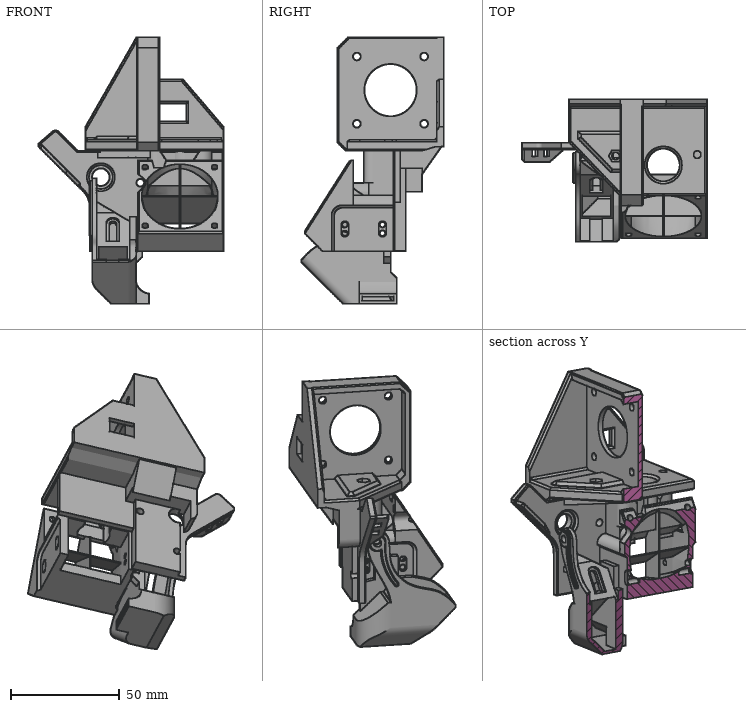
import cadquery as cq
import math


right_x = 85.3
rear_y = 65.8
top_z = 123.0
hotend_x = 65.2
hotend_y = 35.4
screw_d = 3.5
small_chamfer = 1.0
edge_chamfer = 0.6

motor_left_x = 45.2
motor_right_x = 55.9
motor_web = 2.5
motor_front_y = 16.7
motor_corner = 5.0
motor_foot_corner = 3.8
rim_top = 3.2
rim_front = 2.7
rim_inner_corner = 2.7
wall = 3.2
motor_hole_d = 24.0
motor_axis_y = 41.2
motor_axis_z = 98.5
motor_bolt_pitch = 31.0
base_left_x = 21.6
base_bottom_z = 70.6
base_top_z = 75.6
base_front_y = 21.3
base_side_front_y = 46.0
wall_foot_z = 81.5
right_wall_z = 103.5
right_wall_flat_x = 66.5
window_right_x = 68.1
window_bottom_z = 84.2
window_top_z = 92.3
pad_height = 1.7
pad_chamfer = 1.5
nut_x = 43.2
nut_y = 39.6
nut_corners = 6.3
nut_floor_z = 74.4
relief_top_z = 72.4
relief_flat_y = 61.8
bore_d = 15.0
bore_chamfer = 1.1
side_hole_x = 80.8
side_hole_y = 40.2
side_hole_depth = 3.7

plate_front_y = 42.5
plate_rear_y = plate_front_y + wall
plate_left_x = 23.6
plate_bottom_z = 24.3
backing_rear_y = 48.3
backing_left_x = 27.4
plate_inner_x = 49.2
plate_right_bottom_z = 46.8
boss_rear_y = 55.7
boss_bottom_z = 51.3
boss_round = 4.9
boss_leg_x = 24.7
boss_step_z = 62.5
gusset_left_x = 35.0
gusset_rear_y = 64.7
gusset_bottom_z = 59.6
big_screw_x = 28.8
big_screw_z = 58.4
big_screw_d = 8.0
big_screw_head_d = 11.0
big_screw_head_depth = 1.8
lower_screw_z = 36.6
shroud_screw_x = 47.0
shroud_screw_z = 55.8
arm_corner_z = 72.5
arm_end_length = 1.2
flange_thickness = 1.6
flange_front_y = 36.8
flange_end_x = 19.3
tie_slot_length = 3.5
tie_slot_bottom_y = 39.3
tie_slot_x = (4.9, 10.3)
holder_half_width = 14.8
holder_front_y = 28.8
holder_round = 4.3
holder_bottom_z = 55.8
slot_half_width = 6.4
slot_top_half_width = 9.2
slot_flare_z = 66.4
ledge_bottom_z = 67.4
ledge_front_y = 29.4
ledge_right_x = 53.1

fan_tilt = 32.5
fan_size = 39.6
fan_y = 11.9
fan_z = 49.5
fan_opening_d = 35.2
fan_screw_pitch = 32.0
fan_screw_d = 2.7
fan_screw_depth = 6.1
screw_notch_d = 4.9
vane = 0.6
shroud_left_x = right_x - fan_size
shroud_bottom_z = 24.2
shroud_rear_y = plate_front_y
arm_top_z = 50.2
arm_round = 4.3
shroud_step_y = 24.1
duct_end_y = 31.1
roof_thickness = 1.5
passage_half_width = 14.8
passage_side_left_x = hotend_x - passage_half_width
passage_side_right_x = hotend_x + passage_half_width
passage_bottom_z = 29.5
passage_top_z = 48.5
side_pocket_depth = 1.5
side_pocket_bevel = 1.2
side_pocket_front_y = 14.0
side_pocket_top_z = 45.5
side_pocket_round = 4.9
vent_slot_length = 7.1
vent_slot_z = 34.5
vent_slot_depth = 1.2
vent_hole_d = 2.5
vent_hole_reach = 3.7
vent_hole_pitch = 3.9
vent_y = (20.2, 37.5)

duct_left_x = 24.7
duct_right_x = 45.0
cheek_inner_x = 26.8
right_wall_x = 42.2
pivot_y = 36.5
pivot_z = 52.9
pivot_r = 5.0
pivot_hole_y = 37.1
pivot_ring_d = 8.0
pivot_rib_height = 1.2
pivot_rib_bevel = 0.5
duct_front_z = 19.3
lip_height = 0.9
duct_foot_y = 19.4
channel_rear_y = 30.4
nozzle_rear_y = 44.1
nozzle_rear_z = 11.9
nozzle_top_z = 23.4
nozzle_front_y = 2 * hotend_y - nozzle_rear_y
nozzle_round = 13.5
nozzle_end_x = 51.0
nozzle_end_z = 4.8
duct_wall = 1.5
passage_left_x = 27.8
passage_right_x = 41.0
inlet_top_z = 26.3
right_rim_z = 29.5
guide_front_y = 23.6
guide_rear_y = 34.4
guide_top_z = 40.1
duct_corner = 3.7
floor_front_y = -1.2
floor_front_z = 22.4
floor_rear_y = 10.8
floor_rear_z = 10.3
floor_groove_x = (31.3, 37.0)
floor_groove_depth = 0.5
right_wall_rear_y = 41.3
lug_bottom_z = 18.8
lug_right_x = 48.0
lug_front_y = 38.1
mount_face_y = 22.6
mount_face_z = 28.9
bend_y = 31.0
bend_z = 42.0
wall_end_y = 37.4
wall_end_z = 47.1
wall_low_z = 38.0
mount_face_thickness = 2.2
blower_wall_back = [
    (mount_face_y + 1.5 * mount_face_thickness, mount_face_z),
    (bend_y + mount_face_thickness, bend_z - mount_face_thickness / 2),
    (wall_end_y, wall_end_z - mount_face_thickness),
]
key_slot_x = 34.3
key_slot_rim_d = 6.0
key_slot_top = 9.8
key_rim_depth = 1.0
key_slot_depth = 4.9

sin_tilt = math.sin(math.radians(fan_tilt))
cos_tilt = math.cos(math.radians(fan_tilt))


def box(x0, x1, y0, y1, z0, z1):
    """Box between two corners."""
    return cq.Workplane("XY").box(x1 - x0, y1 - y0, z1 - z0, centered=False).translate((x0, y0, z0))


def prism_x(points, x0, x1):
    """Outline of (y, z) points extruded from x0 to x1."""
    return cq.Workplane("YZ", origin=(x0, 0, 0)).polyline(points).close().extrude(x1 - x0)


def prism_y(points, y0, y1):
    """Outline of (x, z) points extruded from y0 to y1."""
    return cq.Workplane("XZ", origin=(0, y0, 0)).polyline(points).close().extrude(y0 - y1)


def prism_z(points, z0, z1):
    """Outline of (x, y) points extruded from z0 to z1."""
    return cq.Workplane("XY", origin=(0, 0, z0)).polyline(points).close().extrude(z1 - z0)


def rod_x(d, y, z, x0, x1):
    return cq.Workplane("YZ", origin=(x0, y, z)).circle(d / 2).extrude(x1 - x0)


def rod_y(d, x, z, y0, y1):
    return cq.Workplane("XZ", origin=(x, y0, z)).circle(d / 2).extrude(y0 - y1)


def rod_z(d, x, y, z0, z1):
    return cq.Workplane("XY", origin=(x, y, z0)).circle(d / 2).extrude(z1 - z0)


def tilted_plane(x, y, z):
    """Plane facing forward and up, parallel to the fan face; its local y runs up the slope."""
    return cq.Plane(origin=(x, y, z), xDir=(1, 0, 0), normal=(0, -cos_tilt, sin_tilt))


def motor_plate():
    outline = [
        (rear_y, base_bottom_z),
        (rear_y, top_z),
        (motor_front_y + motor_corner, top_z),
        (motor_front_y, top_z - motor_corner),
        (motor_front_y, base_bottom_z + motor_foot_corner),
        (motor_front_y + motor_foot_corner, base_bottom_z),
    ]
    plate = prism_x(outline, motor_left_x, motor_right_x)
    plate = plate.faces("<X or >X").edges("not (>Y or <Z)").chamfer(edge_chamfer)
    y0 = motor_front_y + rim_front
    y1 = rear_y - wall
    z1 = top_z - rim_top
    recess = [
        (y1, base_top_z),
        (y1, z1),
        (y0 + rim_inner_corner, z1),
        (y0, z1 - rim_inner_corner),
        (y0, base_top_z + rim_inner_corner),
        (y0 + rim_inner_corner, base_top_z),
    ]
    return plate.cut(prism_x(recess, motor_left_x, motor_right_x - motor_web))


def motor_holes():
    half = motor_bolt_pitch / 2
    holes = rod_x(motor_hole_d, motor_axis_y, motor_axis_z, motor_left_x, motor_right_x)
    for dy in (-half, half):
        for dz in (-half, half):
            bolt = rod_x(screw_d, motor_axis_y + dy, motor_axis_z + dz, motor_left_x, motor_right_x)
            holes = holes.union(bolt)
    return holes


def rear_wall():
    left = [
        (base_left_x, base_bottom_z),
        (base_left_x, wall_foot_z),
        (motor_left_x, top_z),
        (motor_right_x, top_z),
        (motor_right_x, base_bottom_z),
    ]
    right = [
        (motor_right_x, base_bottom_z),
        (motor_right_x, right_wall_z),
        (right_wall_flat_x, right_wall_z),
        (right_x, wall_foot_z),
        (right_x, base_bottom_z),
    ]
    front = rear_y - wall
    walls = prism_y(left, front, rear_y).union(prism_y(right, front, rear_y))
    front_edges = cq.selectors.BoxSelector(
        (base_left_x - 1.2, front - 0.1, wall_foot_z - 9.8), (right_x + 1.2, front + 0.1, top_z - 0.1))
    walls = walls.edges(front_edges).edges("not |Z").chamfer(small_chamfer)
    window = box(motor_right_x, window_right_x, front, rear_y, window_bottom_z, window_top_z)
    return walls.cut(window).faces("<Y").edges(
        cq.selectors.BoxSelector(
            (motor_right_x + 0.1, front - 0.1, window_bottom_z - 0.1),
            (window_right_x + 0.1, front + 0.1, window_top_z + 0.1),
        )
    ).chamfer(small_chamfer)


def base():
    outline = [
        (base_left_x, rear_y),
        (right_x, rear_y),
        (right_x, base_front_y),
        (motor_left_x, base_front_y),
        (base_left_x, base_side_front_y),
    ]
    plate = prism_z(outline, base_bottom_z, base_top_z)
    plate = plate.faces(">Z").edges("not >Y").chamfer(small_chamfer)
    plate = plate.faces("<Z").edges("not (>Y or <X)").chamfer(edge_chamfer)
    pad_outline = [
        (25.8, 51.0),
        (motor_right_x, 51.0),
        (motor_right_x, 32.0),
        (41.1, 32.0),
        (25.8, 47.6),
    ]
    pad = prism_z(pad_outline, base_top_z, base_top_z + pad_height)
    pad = pad.faces(">Z").edges("not >X").chamfer(pad_chamfer)
    return plate.union(pad)


def base_underside_relief():
    """Raised underside along the rear, sloping down to the boss."""
    return prism_x(
        [(rear_y, base_bottom_z), (rear_y, relief_top_z), (relief_flat_y, relief_top_z),
         (boss_rear_y, base_bottom_z)],
        base_left_x,
        right_x,
    )


def wall_foot():
    """Small bevel where the base meets the rear wall."""
    front = rear_y - wall
    return prism_x(
        [(front, base_top_z), (front - small_chamfer, base_top_z), (front, base_top_z + small_chamfer)],
        base_left_x + small_chamfer,
        right_x - small_chamfer,
    )


def base_holes():
    top = base_top_z + pad_height
    nut = cq.Workplane("XY", origin=(nut_x, nut_y, nut_floor_z)).polygon(6, nut_corners)
    nut = nut.extrude(top - nut_floor_z)
    screw = rod_z(screw_d, nut_x, nut_y, ledge_bottom_z, top)
    bore = rod_z(bore_d, hotend_x, hotend_y, plate_right_bottom_z, base_top_z)
    mouth = bore.faces(">Z").workplane().circle(bore_d / 2 + bore_chamfer).extrude(
        -bore_chamfer, combine=False, taper=45)
    side = rod_z(screw_d, side_hole_x, side_hole_y, base_top_z - side_hole_depth, base_top_z)
    return nut.union(screw).union(bore).union(mouth).union(side)


def carriage_plate():
    """Plate with the slanted cable arm, its backing and the round-cornered boss and gusset behind it."""
    plate = (
        cq.Workplane("XZ", origin=(0, plate_front_y, 0))
        .moveTo(plate_left_x, plate_bottom_z)
        .lineTo(plate_left_x, 44.3)
        .threePointArc((23.0, 48.1), (20.9, 51.6))
        .lineTo(0, arm_corner_z)
        .lineTo(0, arm_corner_z + arm_end_length)
        .lineTo(6.4, 79.3)
        .threePointArc((7.9, 79.9), (9.3, 79.3))
        .lineTo(18.1, base_bottom_z)
        .lineTo(right_x, base_bottom_z)
        .lineTo(right_x, plate_right_bottom_z)
        .lineTo(plate_inner_x, plate_right_bottom_z)
        .lineTo(plate_inner_x, plate_bottom_z)
        .close()
        .extrude(-wall)
    )
    plate = plate.faces("<Y").edges().chamfer(edge_chamfer)
    backing = box(backing_left_x, plate_inner_x, plate_rear_y, backing_rear_y, plate_bottom_z, base_bottom_z)
    boss = box(base_left_x, ledge_right_x, plate_rear_y, boss_rear_y, boss_bottom_z, base_bottom_z)
    boss = boss.edges("|Y and <Z").fillet(boss_round)
    boss = boss.cut(box(boss_leg_x, ledge_right_x, plate_rear_y, boss_rear_y, boss_bottom_z, boss_step_z))
    gusset_outline = [
        (gusset_rear_y, relief_top_z),
        (boss_rear_y, gusset_bottom_z),
        (boss_rear_y, base_bottom_z),
        (relief_flat_y, relief_top_z),
    ]
    gusset = prism_x(gusset_outline, gusset_left_x, ledge_right_x)
    return plate.union(backing).union(boss).union(gusset)


def arm_flange():
    """Flange along the arm's lower edge, with two slots for cable ties."""
    step = flange_thickness * math.sqrt(2)
    strip = prism_y(
        [
            (0, arm_corner_z),
            (step / 2, arm_corner_z + step / 2),
            (flange_end_x + step / 2, arm_corner_z - flange_end_x + step / 2),
            (flange_end_x, arm_corner_z - flange_end_x),
        ],
        flange_front_y,
        plate_front_y,
    )
    plan = [
        (0, plate_front_y),
        (0, flange_front_y + 1.2),
        (1.2, flange_front_y),
        (12.8, flange_front_y),
        (flange_end_x, plate_front_y),
    ]
    strip = strip.intersect(prism_z(plan, 0, top_z))
    for x in tie_slot_x:
        slot = cq.Workplane("XY").box(tie_slot_length, plate_front_y - tie_slot_bottom_y, 4 * flange_thickness)
        slot = slot.rotate((0, 0, 0), (0, 1, 0), 45)
        slot = slot.translate((x, (plate_front_y + tie_slot_bottom_y) / 2, arm_corner_z - x))
        strip = strip.cut(slot)
    return strip


def carriage_holes():
    head_y = plate_front_y + big_screw_head_depth
    holes = rod_y(big_screw_d, big_screw_x, big_screw_z, plate_front_y, boss_rear_y)
    holes = holes.union(rod_y(big_screw_head_d, big_screw_x, big_screw_z, plate_front_y, head_y))
    flare = cq.Workplane("XZ", origin=(big_screw_x, plate_front_y, big_screw_z))
    flare = flare.circle(big_screw_head_d / 2 + small_chamfer).extrude(-small_chamfer, taper=45)
    holes = holes.union(flare)
    holes = holes.union(rod_y(screw_d, big_screw_x, lower_screw_z, plate_front_y, backing_rear_y))
    return holes.union(rod_y(screw_d, shroud_screw_x, shroud_screw_z, plate_front_y, boss_rear_y))


def hotend_holder():
    x0 = hotend_x - holder_half_width
    x1 = hotend_x + holder_half_width
    block = box(x0, x1, holder_front_y, plate_front_y, holder_bottom_z, base_bottom_z)
    block = block.edges("|Z and <Y").fillet(holder_round)
    legs = box(x0, x1, duct_end_y, plate_front_y, plate_right_bottom_z, holder_bottom_z)
    block = block.union(legs)
    mouth = prism_y(
        [
            (hotend_x - slot_half_width, plate_right_bottom_z),
            (hotend_x - slot_half_width, slot_flare_z),
            (hotend_x - slot_top_half_width, base_bottom_z),
            (hotend_x + slot_top_half_width, base_bottom_z),
            (hotend_x + slot_half_width, slot_flare_z),
            (hotend_x + slot_half_width, plate_right_bottom_z),
        ],
        holder_front_y,
        plate_front_y,
    )
    ledge = prism_z(
        [(backing_left_x, plate_front_y), (ledge_right_x, ledge_front_y), (ledge_right_x, plate_front_y)],
        ledge_bottom_z,
        base_bottom_z,
    )
    return block.cut(mouth).union(ledge)


def make_mount():
    body = motor_plate().union(rear_wall()).union(base()).union(wall_foot())
    body = body.cut(base_underside_relief())
    body = body.union(carriage_plate()).union(arm_flange()).union(hotend_holder())
    return body.cut(motor_holes()).cut(base_holes()).cut(carriage_holes())


def shroud_shell():
    half = fan_size / 2
    top_y = fan_y + half * sin_tilt
    frame_top_z = fan_z + half * cos_tilt
    front_y = fan_y - half * sin_tilt
    front_z = fan_z - half * cos_tilt
    outline = [
        (top_y, frame_top_z),
        (front_y, front_z),
        (front_y + front_z - shroud_bottom_z, shroud_bottom_z),
        (shroud_rear_y, shroud_bottom_z),
        (shroud_rear_y, holder_bottom_z),
        (shroud_step_y, holder_bottom_z),
        (shroud_step_y, frame_top_z),
    ]
    shell = prism_x(outline, shroud_left_x, right_x)
    fan_face = cq.selectors.ParallelDirSelector(cq.Vector(0, -cos_tilt, sin_tilt))
    shell = shell.faces(fan_face).edges().chamfer(edge_chamfer)
    for x0, x1 in ((shroud_left_x, passage_side_left_x), (passage_side_right_x, right_x)):
        shell = shell.cut(box(x0, x1, shroud_step_y, shroud_rear_y, arm_top_z, holder_bottom_z))
    for x, z in ((shroud_left_x, arm_top_z), (right_x, arm_top_z),
                 (passage_side_left_x, holder_bottom_z), (passage_side_right_x, holder_bottom_z)):
        edge = cq.selectors.BoxSelector(
            (x - 0.1, shroud_step_y, z - 0.1), (x + 0.1, shroud_rear_y, z + 0.1))
        shell = shell.edges(edge).edges("|Y").fillet(arm_round)
    return shell


def air_passage():
    """Passage from the round fan opening to the rectangular rear opening."""
    fan_face = tilted_plane(hotend_x, fan_y, fan_z)
    inlet = cq.Workplane(fan_face).circle(fan_opening_d / 2).wires().val()
    height = passage_top_z - passage_bottom_z
    outlet_plane = cq.Plane(
        origin=(hotend_x, duct_end_y, (passage_top_z + passage_bottom_z) / 2),
        xDir=(1, 0, 0),
        normal=(0, -1, 0),
    )
    outlet = cq.Workplane(outlet_plane).rect(2 * passage_half_width, height).wires().val()
    passage = cq.Workplane(cq.Solid.makeLoft([inlet, outlet]))
    roof_z = holder_bottom_z - roof_thickness
    return passage.cut(box(0, right_x, shroud_step_y - roof_thickness, rear_y, roof_z, top_z))


def fan_vanes(passage):
    """Crossed vanes that follow the fan axis through the whole passage."""
    depth = 2 * fan_size
    fan_face = tilted_plane(hotend_x, fan_y, fan_z)
    across = cq.Workplane(fan_face).rect(fan_size, vane).extrude(-depth)
    upright = cq.Workplane(fan_face).rect(vane, depth).extrude(-depth)
    return across.union(upright).intersect(passage)


def fan_screw_holes():
    fan_face = tilted_plane(hotend_x, fan_y, fan_z)
    return (
        cq.Workplane(fan_face)
        .rect(fan_screw_pitch, fan_screw_pitch, forConstruction=True)
        .vertices()
        .circle(fan_screw_d / 2)
        .extrude(-fan_screw_depth)
    )


def side_pocket(x0, x1, floor):
    """Shallow pocket with a bevelled border in a side face; open at the bottom and rear."""
    pocket = box(x0, x1, side_pocket_front_y, shroud_rear_y, shroud_bottom_z, side_pocket_top_z)
    pocket = pocket.edges("|X and >Z and <Y").fillet(side_pocket_round)
    return pocket.faces(floor).edges("not (<Z or >Y)").chamfer(side_pocket_bevel)


def vent_slots(x0, x1):
    slots = cq.Workplane("YZ", origin=(x0, 0, vent_slot_z)).pushPoints([(y, 0) for y in vent_y])
    return slots.slot2D(vent_slot_length, screw_d, 90).extrude(x1 - x0)


def make_shroud():
    passage = air_passage()
    body = shroud_shell().cut(passage)
    x0 = passage_side_left_x
    x1 = passage_side_right_x
    body = body.cut(box(x0, x1, duct_end_y, shroud_rear_y, shroud_bottom_z, holder_bottom_z))
    body = body.union(fan_vanes(passage))
    body = body.cut(fan_screw_holes())
    left_floor = shroud_left_x + side_pocket_depth
    right_floor = right_x - side_pocket_depth
    body = body.cut(side_pocket(shroud_left_x, left_floor, ">X"))
    body = body.cut(side_pocket(right_floor, right_x, "<X"))
    body = body.cut(vent_slots(left_floor, left_floor + vent_slot_depth))
    body = body.cut(vent_slots(right_floor - vent_slot_depth, right_floor))
    for y in vent_y:
        for dz in (-vent_hole_pitch / 2, vent_hole_pitch / 2):
            z = vent_slot_z + dz
            body = body.cut(rod_x(vent_hole_d, y, z, shroud_left_x, x0 + vent_hole_reach))
            body = body.cut(rod_x(vent_hole_d, y, z, x1 - vent_hole_reach, right_x))
    return body.cut(screw_notches())


def screw_notches():
    """Round notch with a flared mouth that clears the mounting screw, and the notch beside the frame's ear."""
    notch = rod_y(screw_notch_d, shroud_screw_x, shroud_screw_z, 0, shroud_step_y)
    ear_mouth = [(shroud_left_x, 60.0), (48.5, 57.7), (48.5, 54.0), (shroud_left_x, 51.1)]
    notch = notch.union(prism_y(ear_mouth, 0, shroud_step_y))
    ear_notch = [(52.1, 67.0), (53.2, 62.8), (57.8, 62.8), (59.0, 67.0)]
    return notch.union(prism_y(ear_notch, 0, shroud_step_y))


def cheek_profile():
    """Side outline of the duct with the pivot arm, as (y, z)."""
    return (
        cq.Workplane("YZ", origin=(duct_left_x, 0, 0))
        .moveTo(duct_foot_y, 0)
        .lineTo(0, duct_front_z)
        .lineTo(0, duct_front_z + lip_height)
        .spline([(3.5, 23.7), (7.9, 26.9), (14.4, 28.9), (22.0, 31.7), (28.4, 38.1), (31.0, 45.9)],
                includeCurrent=True)
        .lineTo(pivot_y - pivot_r, pivot_z)
        .threePointArc((pivot_y, pivot_z + pivot_r), (pivot_y + pivot_r, pivot_z))
        .spline([(40.0, 44.6), (33.6, 32.3), (channel_rear_y, 20.9)], includeCurrent=True)
        .lineTo(channel_rear_y, 0)
        .close()
    )


def duct_envelope():
    """Front outline of the duct: straight shaft, chamfered elbow and nozzle tip."""
    return (
        cq.Workplane("XZ")
        .moveTo(33.6, 0)
        .lineTo(nozzle_end_x, 0)
        .lineTo(nozzle_end_x, nozzle_end_z)
        .threePointArc((47.0, 6.6), (duct_right_x, 10.2))
        .lineTo(duct_right_x, top_z)
        .lineTo(duct_left_x, top_z)
        .lineTo(duct_left_x, 11.3)
        .threePointArc((25.3, 8.7), (26.9, 6.6))
        .close()
        .extrude(-rear_y)
    )


def duct_outside():
    width = duct_right_x - duct_left_x
    shaft = cheek_profile().extrude(width)
    corner = cq.selectors.BoxSelector((duct_right_x - 0.1, 0.1, 0.1),
                                      (duct_right_x + 0.1, duct_foot_y - 0.1, duct_front_z - 0.1))
    shaft = shaft.edges(corner).fillet(duct_corner)
    shaft = shaft.cut(box(cheek_inner_x, duct_right_x, 0, rear_y, right_rim_z, top_z))
    guide = box(right_wall_x, duct_right_x, guide_front_y, guide_rear_y, nozzle_top_z, guide_top_z)
    shaft = shaft.union(guide)
    elbow = prism_x(
        [(channel_rear_y, 0), (nozzle_rear_y, 0), (nozzle_rear_y, nozzle_rear_z),
         (32.0, nozzle_top_z), (channel_rear_y, nozzle_top_z)],
        duct_left_x,
        duct_right_x,
    )
    elbow = elbow.edges("|Z and >Y and <X").fillet(nozzle_round)
    tip = box(duct_right_x, nozzle_end_x, nozzle_front_y, nozzle_rear_y, 0, nozzle_rear_z)
    tail = prism_x(
        [(channel_rear_y, 0), (right_wall_rear_y, nozzle_rear_z), (right_wall_rear_y, 25.8),
         (38.7, 28.6), (32.6, 29.8), (channel_rear_y, nozzle_top_z)],
        right_wall_x,
        duct_right_x,
    )
    return shaft.union(elbow).union(tip).union(tail).intersect(duct_envelope())


def blower_space():
    """Open space in front of the sloped blower face, between the side walls."""
    floor_front = (floor_front_y, floor_front_z)
    floor_rear = (floor_rear_y, floor_rear_z)
    space = prism_x(
        [floor_front, floor_rear, (mount_face_y, mount_face_z), (bend_y, bend_z), (floor_front_y, bend_z)],
        cheek_inner_x,
        right_wall_x,
    )
    d = floor_groove_depth
    groove = prism_x(
        [floor_front, floor_rear, (floor_rear_y - d, floor_rear_z - d), (floor_front_y - d, floor_front_z - d)],
        *floor_groove_x,
    )
    return space.union(groove)


def blower_back_space():
    """Open space behind the sloped blower wall."""
    open_end = [
        (rear_y, wall_end_z - mount_face_thickness),
        (rear_y, mount_face_z),
        (channel_rear_y, nozzle_top_z),
    ]
    return prism_x(
        blower_wall_back + open_end,
        cheek_inner_x,
        right_wall_x,
    )


def blower_wall():
    """Sloped wall with the diagonal upper edge, from the left cheek to the right wall."""
    front = [(mount_face_y, mount_face_z), (bend_y, bend_z), (wall_end_y, wall_end_z)]
    slab = prism_x(
        front + blower_wall_back[::-1],
        cheek_inner_x,
        right_wall_x,
    )
    upper_edge = [(cheek_inner_x, mount_face_z), (cheek_inner_x, wall_end_z),
                  (right_wall_x, wall_low_z), (right_wall_x, mount_face_z)]
    return slab.intersect(prism_y(upper_edge, 0, rear_y))


def pivot_rib():
    """Raised ring around the pivot with a curved tail along the arm."""
    x0 = duct_left_x - pivot_rib_height
    ring = rod_x(pivot_ring_d, pivot_hole_y, pivot_z, x0, duct_left_x)
    tail = (
        cq.Workplane("YZ", origin=(x0, 0, 0))
        .moveTo(35.7, 49.8)
        .spline([(34.9, 43.9), (32.3, 36.9), (29.1, 32.1)], includeCurrent=True)
        .threePointArc((27.7, 31.3), (27.3, 33.0))
        .spline([(30.4, 37.7), (32.6, 43.9), (33.2, 52.2)], includeCurrent=True)
        .close()
        .extrude(pivot_rib_height)
    )
    return ring.union(tail).faces("<X").edges().chamfer(pivot_rib_bevel)


def key_slot():
    face = tilted_plane(key_slot_x, mount_face_y, mount_face_z)
    above = cq.Workplane(face).workplane(offset=key_rim_depth)
    length = 2 * key_slot_top
    slot = above.slot2D(length + screw_d, screw_d, 90).extrude(-key_rim_depth - key_slot_depth)
    rim = above.slot2D(length + key_slot_rim_d, key_slot_rim_d, 90).extrude(-2 * key_rim_depth)
    lower_half = box(0, right_x, 0, rear_y, 0, mount_face_z)
    return slot.union(rim).cut(lower_half)


def duct_passage():
    side = prism_x(
        [(19.9, duct_wall), (11.8, 9.6), (11.8, 12.9), (21.1, 27.7),
         (24.6, inlet_top_z), (nozzle_rear_y - duct_wall, 10.3),
         (nozzle_rear_y - duct_wall, duct_wall)],
        0,
        nozzle_end_x,
    )
    front = prism_y(
        [(passage_left_x, inlet_top_z), (passage_left_x, 8.6), (34.9, duct_wall), (nozzle_end_x, duct_wall),
         (nozzle_end_x, nozzle_end_z - duct_wall), (duct_right_x, 5.7),
         (passage_right_x, 10.5), (passage_right_x, inlet_top_z)],
        0,
        rear_y,
    )
    bend = box(passage_left_x, nozzle_end_x, 0, nozzle_rear_y - duct_wall, 0, top_z)
    bend = bend.edges("|Z and <X and >Y").fillet(nozzle_round - duct_wall)
    passage = side.intersect(front).intersect(bend)
    return passage.cut(box(passage_right_x, nozzle_end_x, 0, nozzle_front_y + duct_wall, 0, top_z))


def hook_lug():
    """Lug on the right wall that reaches under the shroud."""
    return prism_y(
        [
            (duct_right_x, lug_bottom_z),
            (lug_right_x, lug_bottom_z + lug_right_x - duct_right_x),
            (lug_right_x, shroud_bottom_z),
            (duct_right_x, shroud_bottom_z),
        ],
        lug_front_y,
        right_wall_rear_y,
    )


def make_duct():
    body = duct_outside().cut(blower_space()).cut(blower_back_space())
    body = body.union(blower_wall()).cut(key_slot())
    body = body.cut(duct_passage())
    body = body.union(pivot_rib()).union(hook_lug())
    return body.cut(rod_x(screw_d, pivot_hole_y, pivot_z, duct_left_x - pivot_rib_height, cheek_inner_x))


mount = make_mount().solids()
shroud = make_shroud().solids()
duct = make_duct().solids()
result = cq.Compound.makeCompound([*mount.vals(), *shroud.vals(), *duct.vals()])